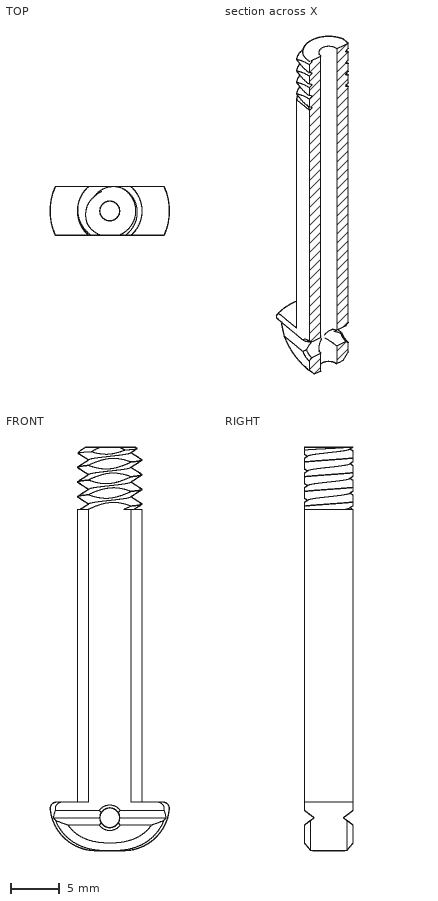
import cadquery as cq
import math

total_length = 41.23
thickness = 5.0
head_length = 12.2
head_height = 5.0
shank_diameter = 6.6
thread_length = 6.35
hole_diameter = 2.0

head_radius = head_length / 2
head_edge_fillet = 0.7
rim_height = 0.75
belly_flat_radius = 1.4
head_chamfer = 0.67
groove_depth = 1.0
groove_width = 1.5
groove_z = -1.62
countersink_diameter = 2.6
countersink_depth = 0.3

thread_pitch = 1.5
thread_root_radius = 2.15
thread_crest_width = 0.04
crest_start_height = 0.53
thread_end_chamfer = 0.65
cutter_overlap = 0.3
extra_turns = 2

shank_radius = shank_diameter / 2
half_thickness = thickness / 2
top_z = total_length - head_height
thread_base_z = top_z - thread_length


def make_slab(length, bottom_z, height):
    """Block of the common thickness, centred on the Z axis."""
    block = cq.Workplane("XY").box(length, thickness, height, centered=(True, True, False))
    return block.translate((0, 0, bottom_z))


def make_head():
    """T-head: turned belly with two parallel faces, chamfered below the side grooves."""
    turned = (
        cq.Workplane("XZ")
        .moveTo(0, -head_height)
        .lineTo(belly_flat_radius, -head_height)
        .tangentArcPoint((head_radius, -rim_height), relative=False)
        .lineTo(head_radius, 0)
        .lineTo(0, 0)
        .close()
        .revolve()
        .faces(">Z")
        .edges()
        .fillet(head_edge_fillet)
    )
    upper = turned.intersect(make_slab(head_length, groove_z, -groove_z))
    lower = turned.intersect(make_slab(head_length, -head_height, head_height + groove_z))
    lower = lower.faces("<Y or >Y").edges("not |X").chamfer(head_chamfer)
    return upper.union(lower)


def make_side_groove(side):
    """V-groove cutter running along X on the front (-1) or back (+1) face of the head."""
    face_y = side * half_thickness
    return (
        cq.Workplane("YZ")
        .moveTo(face_y, groove_z - groove_width / 2)
        .lineTo(face_y - side * groove_depth, groove_z)
        .lineTo(face_y, groove_z + groove_width / 2)
        .close()
        .extrude(head_length, both=True)
    )


def make_shank():
    """Round shank with two flats."""
    rod = cq.Workplane("XY").circle(shank_radius).extrude(thread_base_z)
    return rod.intersect(make_slab(shank_diameter, 0, thread_base_z))


def make_thread():
    """Right-hand V-thread with the same two flats as the shank."""
    rod = (
        cq.Workplane("XY", origin=(0, 0, thread_base_z))
        .circle(shank_radius)
        .extrude(thread_length)
        .faces(">Z")
        .edges()
        .chamfer(thread_end_chamfer)
    )
    groove_half_width = (thread_pitch - thread_crest_width) / 2
    turns = math.ceil(thread_length / thread_pitch) + extra_turns
    groove_start_z = thread_base_z + crest_start_height - thread_pitch / 2 - thread_pitch
    outer_radius = shank_radius + cutter_overlap
    helix = cq.Wire.makeHelix(thread_pitch, turns * thread_pitch, thread_root_radius)
    cutter = (
        cq.Workplane("XZ")
        .moveTo(thread_root_radius, 0)
        .lineTo(shank_radius, groove_half_width)
        .lineTo(outer_radius, groove_half_width)
        .lineTo(outer_radius, -groove_half_width)
        .lineTo(shank_radius, -groove_half_width)
        .close()
        .sweep(cq.Workplane(helix), isFrenet=True)
        .translate((0, 0, groove_start_z))
    )
    return rod.cut(cutter).intersect(make_slab(shank_diameter, thread_base_z, thread_length))


def make_cross_hole():
    """Hole through the head along Y, countersunk on both faces."""
    hole = (
        cq.Workplane("XZ", origin=(0, 0, groove_z))
        .circle(hole_diameter / 2)
        .extrude(half_thickness, both=True)
    )
    for side in (-1, 1):
        cone = cq.Solid.makeCone(
            countersink_diameter / 2,
            hole_diameter / 2,
            countersink_depth,
            pnt=cq.Vector(0, side * half_thickness, groove_z),
            dir=cq.Vector(0, -side, 0),
        )
        hole = hole.union(cq.Workplane(cone))
    return hole


def make_axial_hole():
    """Hole along the full length of the part."""
    return (
        cq.Workplane("XY", origin=(0, 0, -head_height))
        .circle(hole_diameter / 2)
        .extrude(total_length)
    )


head = make_head()
for groove_side in (-1, 1):
    head = head.cut(make_side_groove(groove_side))

body = head.union(make_shank()).union(make_thread())
result = body.cut(make_cross_hole()).cut(make_axial_hole())